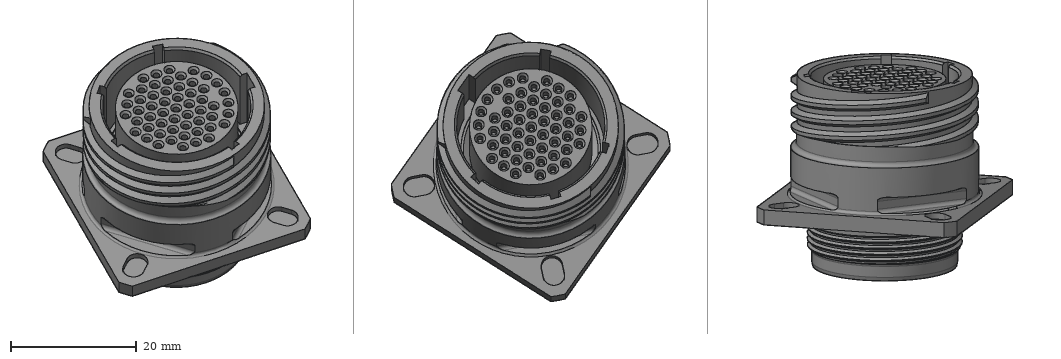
import cadquery as cq
import math


diagonals = (45, 135, 225, 315)

height = 31.62
rear_disc_top = 0.3
rear_taper_top = 0.95
rear_ring_top = 2.7
rear_thread_bottom = 3.05
flange_bottom = 9.5
flange_top = 11.97
body_top = 19.65
neck_top = 22.93
insert_face = 30.82
bore_floor = body_top

rear_disc_radius = 9.7
rear_taper_radius = 11.57
rear_ring_radius = 11.7
rear_root_radius = 11.8
rear_shank_radius = 12.4
body_radius = 15.05
neck_radius = 14.15
coupling_root_radius = 14.0
coupling_crest_radius = 14.98

rear_fillet = 0.67
body_fillet = 0.55
shoulder_fillet = 0.8

flange_size = 33.43
flange_corner_radius = 22.5
slot_center = 12.87
slot_width = 3.45
slot_straight = 1.57
slot_depth = 1.0

recess_distance = 12.7
recess_bottom = 12.2
recess_top = 14.85
recess_fillet = 0.67

coupling_starts = 3
coupling_lead = 7.7
coupling_root_width = 1.75
coupling_crest_width = 0.65
coupling_end_level = 30.5
coupling_end_angle = 17.0
coupling_turns = 1.15

rear_pitch = 1.0
rear_groove_mouth = 0.9
rear_groove_floor = 0.27
rear_groove_radius = 11.85
rear_end_level = 7.72
rear_end_angle = -117.0
rear_turns = 5.0

bore_radius = 11.85
bore_chamfer = 0.37
moat_radius = 11.15
moat_step = 0.35
moat_cone_drop = 0.55
moat_bottom = bore_floor - moat_step - moat_cone_drop
moat_seat_radius = 10.75
insert_radius = 9.8

main_keyway = (90.0, 3.18, 12.95)
minor_keyway_angles = (23.0, 170.0, 232.0, 286.0)
minor_keyway_width = 1.65
minor_keyway_radius = 12.9

contact_pitch = 2.27
contact_grid_shift = -0.1
contact_mouth_radius = 0.87
contact_radius = 0.5
contact_depth = 2.0
contact_arc_radius = 8.32
contact_arc_step = 15.8
contact_arc_side_count = 3
contact_columns = ((-3, 2), (-3.5, 2.5), (-3, 2), (-2.5, 1.5), (-1, 1))

overlap = 0.2


def cylinder(radius, bottom, top):
    return cq.Workplane("XY").workplane(offset=bottom).circle(radius).extrude(top - bottom)


def helical_bar(half_profile, pitch, turns, end_level, end_angle):
    """Right-hand helical bar; half_profile lists (radius, half width) from inside to outside."""
    length = pitch * turns
    outline = [(r, -w) for r, w in half_profile] + [(r, w) for r, w in reversed(half_profile)]
    path = cq.Wire.makeHelix(pitch, length, half_profile[0][0])
    bar = cq.Workplane("XZ").polyline(outline).close().sweep(cq.Workplane(path), isFrenet=True)
    start_angle = end_angle - 360 * turns
    return bar.rotate((0, 0, 0), (0, 0, 1), start_angle).translate((0, 0, end_level - length))


def concave_middle(center_r, center_z, radius, toward_r, toward_z):
    """Middle point of a quarter fillet, on the given diagonal from the fillet center."""
    reach = radius * math.sqrt(0.5)
    return (center_r + toward_r * reach, center_z + toward_z * reach)


def turned_outside():
    thread_chamfer = rear_shank_radius - rear_root_radius
    rear_r = rear_shank_radius + rear_fillet
    rear_z = flange_bottom - rear_fillet
    body_r = body_radius + body_fillet
    body_z = flange_top + body_fillet
    neck_r = neck_radius + shoulder_fillet
    neck_z = body_top + shoulder_fillet
    return (
        cq.Workplane("XZ")
        .lineTo(rear_disc_radius, 0)
        .lineTo(rear_disc_radius, rear_disc_top)
        .lineTo(rear_taper_radius, rear_disc_top)
        .lineTo(rear_ring_radius, rear_taper_top)
        .lineTo(rear_ring_radius, rear_ring_top)
        .lineTo(rear_root_radius, rear_thread_bottom)
        .lineTo(rear_shank_radius, rear_thread_bottom + thread_chamfer)
        .lineTo(rear_shank_radius, rear_z)
        .threePointArc(concave_middle(rear_r, rear_z, rear_fillet, -1, 1), (rear_r, flange_bottom))
        .lineTo(body_r, flange_bottom)
        .lineTo(body_r, flange_top)
        .threePointArc(concave_middle(body_r, body_z, body_fillet, -1, -1), (body_radius, body_z))
        .lineTo(body_radius, body_top)
        .lineTo(neck_r, body_top)
        .threePointArc(concave_middle(neck_r, neck_z, shoulder_fillet, -1, -1), (neck_radius, neck_z))
        .lineTo(neck_radius, neck_top)
        .lineTo(coupling_root_radius, neck_top)
        .lineTo(coupling_root_radius, height)
        .lineTo(0, height)
        .close()
        .revolve(360, (0, 0, 0), (0, 1, 0))
    )


def flange():
    thickness = flange_top - flange_bottom
    plate = (
        cq.Workplane("XY")
        .workplane(offset=flange_bottom)
        .rect(flange_size, flange_size)
        .extrude(thickness)
        .intersect(cylinder(flange_corner_radius, flange_bottom, flange_top))
    )
    slot = (
        cq.Workplane("XY")
        .workplane(offset=flange_top - slot_depth)
        .center(slot_center * math.sqrt(2), 0)
        .slot2D(slot_straight + slot_width, slot_width)
        .extrude(slot_depth)
    )
    for angle in diagonals:
        plate = plate.cut(slot.rotate((0, 0, 0), (0, 0, 1), angle))
    return plate


def recess():
    """Straight channel along Y with rounded inner corners, to be cut into the body."""
    depth = body_radius + body_fillet - recess_distance
    return (
        cq.Workplane("XY")
        .box(depth, 2 * body_radius, recess_top - recess_bottom, centered=(False, True, False))
        .edges("|Y and <X")
        .fillet(recess_fillet)
        .translate((recess_distance, 0, recess_bottom))
    )


def coupling_thread():
    """One ridge per start; each ends at the top in a flat face at 45 degrees to the radius."""
    half_root = coupling_root_width / 2
    half_crest = coupling_crest_width / 2
    flank_slope = (half_root - half_crest) / (coupling_crest_radius - coupling_root_radius)
    half_profile = [
        (coupling_root_radius - overlap, half_root + flank_slope * overlap),
        (coupling_crest_radius, half_crest),
    ]
    bar = helical_bar(
        half_profile, coupling_lead, coupling_turns, coupling_end_level, coupling_end_angle
    )
    outer = coupling_crest_radius + overlap
    setback = outer - coupling_root_radius
    end_cut_bottom = coupling_end_level - coupling_root_width
    end_cut = (
        cq.Workplane("XY")
        .workplane(offset=end_cut_bottom)
        .polyline([(coupling_root_radius, 0), (outer, -setback), (outer, overlap)])
        .close()
        .extrude(height - end_cut_bottom)
        .rotate((0, 0, 0), (0, 0, 1), coupling_end_angle)
    )
    bar = bar.intersect(cylinder(body_radius, neck_top, height)).cut(end_cut)
    return [
        bar.rotate((0, 0, 0), (0, 0, 1), 360 * start / coupling_starts)
        for start in range(coupling_starts)
    ]


def rear_groove():
    half_mouth = rear_groove_mouth / 2
    half_floor = rear_groove_floor / 2
    flank_slope = (half_mouth - half_floor) / (rear_shank_radius - rear_groove_radius)
    half_profile = [
        (rear_groove_radius, half_floor),
        (rear_shank_radius + overlap, half_mouth + flank_slope * overlap),
    ]
    return helical_bar(half_profile, rear_pitch, rear_turns, rear_end_level, rear_end_angle)


def bore():
    """Open bore, stepping and tapering in at its bottom to the radius of the insert."""
    return (
        cq.Workplane("XZ")
        .moveTo(0, moat_bottom)
        .lineTo(insert_radius, moat_bottom)
        .lineTo(moat_seat_radius, bore_floor - moat_step)
        .lineTo(moat_radius, bore_floor - moat_step)
        .lineTo(moat_radius, bore_floor)
        .lineTo(bore_radius, bore_floor)
        .lineTo(bore_radius, height - bore_chamfer)
        .lineTo(bore_radius + bore_chamfer, height)
        .lineTo(0, height)
        .close()
        .revolve(360, (0, 0, 0), (0, 1, 0))
    )


def keyway(angle, width, radius):
    inner = (insert_radius + bore_radius) / 2
    return (
        cq.Workplane("XY")
        .box(radius - inner, width, height - bore_floor, centered=(False, True, False))
        .translate((inner, 0, bore_floor))
        .rotate((0, 0, 0), (0, 0, 1), angle)
    )


def contact_points():
    column_spacing = contact_pitch * math.sqrt(3) / 2
    points = []
    for column, (first, last) in enumerate(contact_columns):
        for side in (-1, 1) if column else (1,):
            for step in range(int(last - first) + 1):
                y = contact_grid_shift + (first + step) * contact_pitch
                points.append((side * column * column_spacing, y))
    for step in range(-contact_arc_side_count, contact_arc_side_count + 1):
        angle = math.radians(90 + step * contact_arc_step)
        points.append((contact_arc_radius * math.cos(angle), contact_arc_radius * math.sin(angle)))
    return points


def contact_holes():
    cone_depth = contact_mouth_radius - contact_radius
    hole = (
        cq.Workplane("XZ")
        .moveTo(0, insert_face)
        .lineTo(contact_mouth_radius, insert_face)
        .lineTo(contact_radius, insert_face - cone_depth)
        .lineTo(contact_radius, insert_face - contact_depth)
        .lineTo(0, insert_face - contact_depth)
        .close()
        .revolve(360, (0, 0, 0), (0, 1, 0))
        .val()
    )
    return [hole.translate(cq.Vector(x, y, 0)) for x, y in contact_points()]


def insert():
    block = cylinder(insert_radius, moat_bottom, insert_face)
    return cq.Workplane(block.val().cut(*contact_holes()))


part = turned_outside()
for angle in diagonals:
    part = part.cut(recess().rotate((0, 0, 0), (0, 0, 1), angle))
part = part.union(flange()).cut(bore()).cut(keyway(*main_keyway))
for angle in minor_keyway_angles:
    part = part.cut(keyway(angle, minor_keyway_width, minor_keyway_radius))
part = part.union(insert())
part = part.cut(rear_groove(), clean=False)
for ridge in coupling_thread():
    part = part.union(ridge, clean=False)
result = part